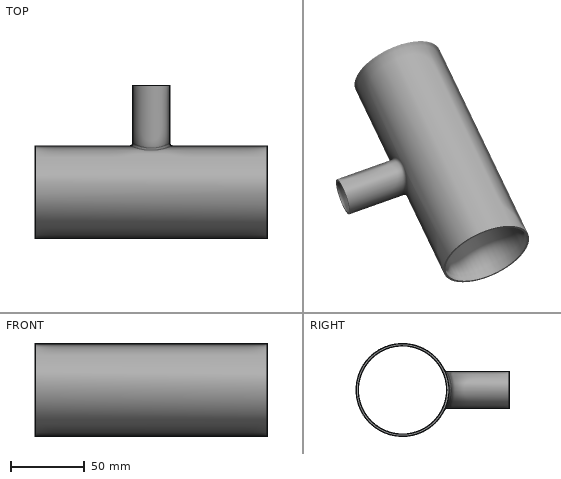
import cadquery as cq

run_length = 158.8
run_outer_diameter = 63.5
run_inner_diameter = 60.2

branch_outer_diameter = 25.4
branch_inner_diameter = 22.0
overall_width = 104.8
branch_reach = overall_width - run_outer_diameter / 2

weld_fillet_radius = 1.6


def run_cylinder(diameter):
    """Solid cylinder along X, centred on the origin."""
    return cq.Workplane("YZ").circle(diameter / 2).extrude(run_length / 2, both=True)


def branch_cylinder(diameter):
    """Solid cylinder along +Y, from the main axis to the open end of the branch."""
    return cq.Workplane("XZ").circle(diameter / 2).extrude(-branch_reach)


body = run_cylinder(run_outer_diameter).union(branch_cylinder(branch_outer_diameter))
junction_edge = cq.selectors.BoxSelector(
    (-branch_outer_diameter, 0, -branch_outer_diameter),
    (branch_outer_diameter, run_outer_diameter / 2 + weld_fillet_radius, branch_outer_diameter),
    boundingbox=True,
)
body = body.edges(junction_edge).fillet(weld_fillet_radius)

result = body.cut(run_cylinder(run_inner_diameter)).cut(branch_cylinder(branch_inner_diameter))